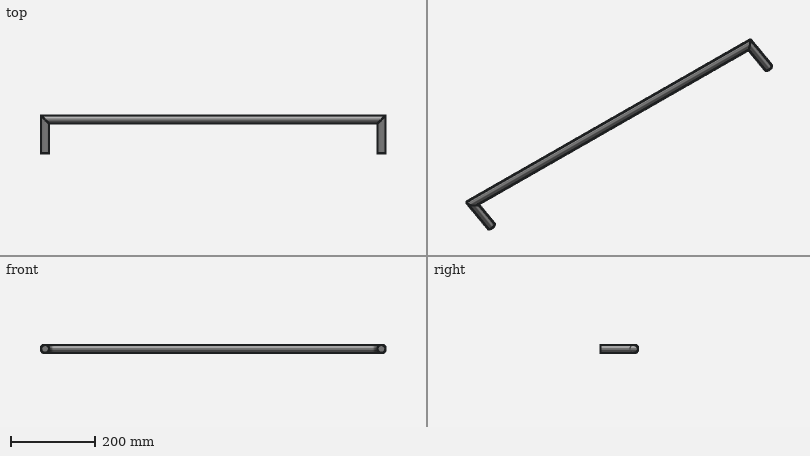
import cadquery as cq

length = 820.0
depth = 90.0
bar_diameter = 20.0

bar_radius = bar_diameter / 2
half_span = length / 2 - bar_radius
leg_front = -depth / 2
rail_y = depth / 2 - bar_radius

centreline = (
    cq.Workplane("XY")
    .moveTo(-half_span, leg_front)
    .lineTo(-half_span, rail_y)
    .lineTo(half_span, rail_y)
    .lineTo(half_span, leg_front)
)

result = (
    cq.Workplane("XZ", origin=(-half_span, leg_front, 0))
    .circle(bar_radius)
    .sweep(centreline, transition="right")
)